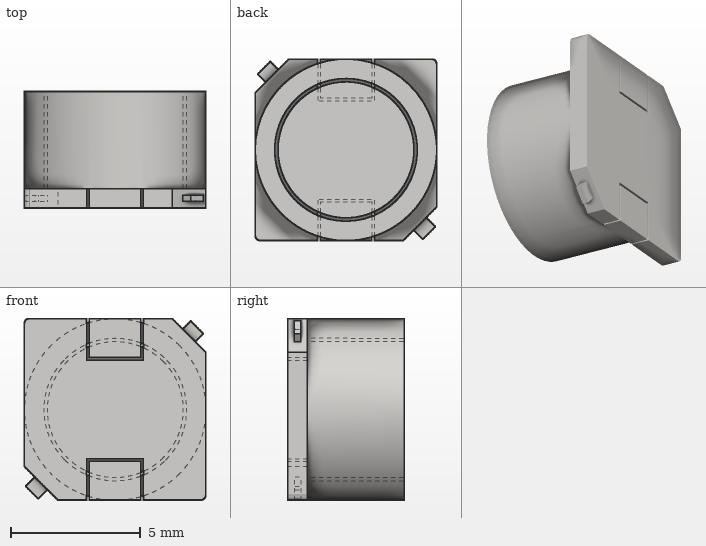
import cadquery as cq
import math

width = 7.0
total_depth = 4.5
base_thickness = 0.75

corner_chamfer = 1.3
chamfer_angle = 45
corner_radius = 0.2

pad_width = 2.0
pad_height = 1.5
pad_side_gap = 0.09
pad_end_gap = 0.1
notch_width = pad_width + 2 * pad_side_gap
notch_height = pad_height + pad_end_gap

body_depth = total_depth - base_thickness
ring_outer_radius = width / 2
ring_inner_radius = 2.75
core_radius = 2.62

wire_width = 0.69
wire_thickness = 0.25
wire_front = 0.26
upper_wire_reach = 0.44
lower_wire_reach = 0.5
wire_embed = 0.3


def block(x_size, y_size, z_size, y_start, z_start):
    """Box centred on X that starts at the given Y and Z."""
    box = cq.Workplane("XY").box(x_size, y_size, z_size, centered=(True, False, False))
    return box.translate((0, y_start, z_start))


def cylinder(radius):
    """Cylinder along Y, from the back of the base plate to the back of the part."""
    return cq.Workplane("XZ", origin=(0, base_thickness, 0)).circle(radius).extrude(-body_depth)


def half_turn(shape):
    """Copy of the shape on the opposite side of the Y axis."""
    return shape.rotate((0, 0, 0), (0, 1, 0), 180)


def corner_edge(x_side, z_side):
    """Selector of the edge along Y at the plate corner on the given sides (1 or -1)."""
    half = width / 2
    return cq.selectors.NearestToPointSelector((x_side * half, base_thickness / 2, z_side * half))


def make_base():
    """Square plate with two chamfered and two rounded corners and a notch for each pad."""
    half = width / 2
    plate = block(width, base_thickness, width, 0, -half)
    for side in (1, -1):
        plate = plate.edges(corner_edge(side, side)).chamfer(corner_chamfer)
        plate = plate.edges(corner_edge(side, -side)).fillet(corner_radius)
    notch = block(notch_width, base_thickness, notch_height, 0, half - notch_height)
    return plate.cut(notch).cut(half_turn(notch))


def make_pad():
    """Upper terminal pad, flush with the edge and the face of the base plate."""
    return block(pad_width, base_thickness, pad_height, 0, width / 2 - pad_height)


def make_wire_end(reach):
    """Flat wire end that leaves the +X +Z chamfer at a right angle by the given reach."""
    chamfer_distance = (width - corner_chamfer) * math.cos(math.radians(chamfer_angle))
    start = chamfer_distance - wire_embed
    wire = block(wire_width, wire_thickness, wire_embed + reach, wire_front, start)
    return wire.rotate((0, 0, 0), (0, 1, 0), chamfer_angle)


result = make_base()
result = result.union(cylinder(ring_outer_radius).cut(cylinder(ring_inner_radius)))
result = result.union(cylinder(core_radius))
result = result.union(make_pad()).union(half_turn(make_pad()))
result = result.union(make_wire_end(upper_wire_reach))
result = result.union(half_turn(make_wire_end(lower_wire_reach)))